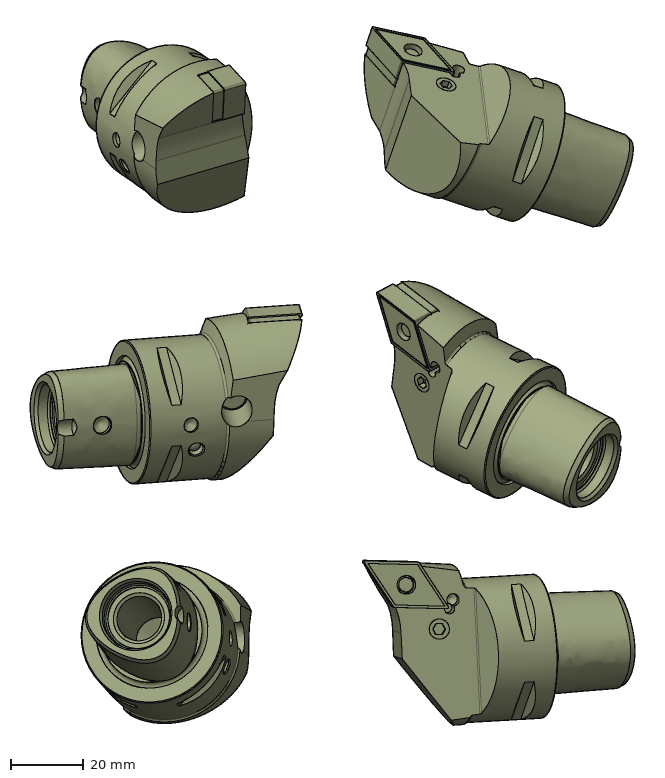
import cadquery as cq
import math


shank_length = 24.0
shank_radius = 14.0
shank_lobe = 1.0
shank_taper = 1 / 40
shank_end_x = -1.55
shank_lead = 1.5
shank_lead_step = 0.7
polygon_points = 60
neck_radius = 14.2
neck_start_x = -0.3
recess_radius = 15.75
recess_depth = 1.1
neck_fillet = recess_radius - neck_radius
key_slot_radius = 2.6
key_slot_length = 4.2
key_slot_y = -13.6
shank_hole_x = -11.5
shank_hole_diameter = 5.0
shank_hole_depth = 1.6
shank_hole_chamfer = 0.2
drill_half_angle = math.radians(59)

mouth_radius = 10.2
entry_radius = 9.6
thread_mouth_radius = 9.2
thread_radius = 8.7
bore_radius = 7.2
deep_bore_radius = 6.3
mouth_depth = 1.0
entry_depth = 3.7
thread_mouth_depth = 4.3
thread_depth = 4.85
bore_cone_depth = 0.55
deep_bore_end_x = 10.0

flange_radius = 20.0
flange_length = 22.3
flange_chamfer = 0.3
slot_x = 8.0
slot_floor_width = 2.7
slot_floor_distance = 17.65
slot_flank_angle = math.radians(30)
slot_count = 4
dimple_x = 12.0
dimple_diameter = 4.1
dimple_depth = 1.0

ball_hole_x = 14.0
ball_hole_angle = 22.0
ball_hole_diameter = 4.0
ball_hole_mouth_diameter = 4.8
ball_hole_depth = 5.0
ball_depth = 3.0

head_radius = 20.5
head_start_x = 23.0
crown_radius = 24.05
crown_tilt = math.radians(6)
crown_offset_y = 0.38
shoulder_top_x = 24.15
head_reach_x = 60.0
head_overlap_x = 19.0

tip_x = 50.33
tip_z = 27.03
rake_normal = (0.19, 1.0, 0.178)
top_edge = (14.9, -2.9, 0.65)
floor_height = -0.57
insert_edge = 15.5
insert_angle = math.radians(55)
insert_thickness = 6.35
insert_nose = 0.4
insert_hole_diameter = 5.16
breaker_inset = 0.7
breaker_depth = 0.2
shim_thickness = 3.0
shim_inset = 0.4
pin_diameter = 4.0
pin_top = -1.5
pin_length = 15.0
pocket_overrun = 4.0
corner_relief_diameter = 2.8
coolant_hole_position = (-25.3, 10.2)
coolant_hole_radius = 1.7
coolant_hole_depth = 6.0

end_inset = 0.4
end_flank_length = 15.6
end_arc_middle = (-10.5, 15.9)
end_top = (-11.1, 19.8)
end_bottom = (-11.65, 26.95)
underside_angle = math.radians(130.2)
underside_length = 60.0
end_outline_left = -60.0
end_outline_top = -10.0
end_outline_height = 20.0

wall_foot = (-31.3, 6.7)
wall_skew = 4.3
wall_lean = math.radians(26.8)
wall_height = 40.0
wall_foot_fillet = 0.5

screw_position = (-21.7, 18.4)
screw_diameter = 8.65
screw_end_depth = 17.6
screw_end_chamfer = 0.6
screw_head_diameter = 5.6
screw_head_length = 4.0
screw_socket_width = 3.5
screw_socket_depth = 2.0

insert_corner = cq.Vector(tip_x, 0, tip_z)
rake_plane = cq.Plane(origin=insert_corner, xDir=top_edge, normal=rake_normal)
seat_depth = insert_thickness + shim_thickness
through = 80.0
clearance = 1.0


def rake_level(height):
    """Workplane parallel to the rake face; height is positive out of the part."""
    return cq.Workplane(rake_plane).workplane(offset=height)


def rod(position, diameter, top, length):
    """Cylinder along the rake normal, from height top downward."""
    return rake_level(top).center(*position).circle(diameter / 2).extrude(-length)


def rhombus_points(inset=0.0, overrun=0.0):
    """Insert outline moved inward on all sides, or with its two free sides moved outward by overrun."""
    cos_a, sin_a = math.cos(insert_angle), math.sin(insert_angle)

    def corner(along, down):
        return (-along - down * cos_a, down * sin_a)

    shift = inset / sin_a
    near = shift - overrun
    far = insert_edge - shift
    return [corner(near, near), corner(far, near), corner(far, far), corner(near, far)]


def revolve_about_x(profile):
    return profile.close().revolve(360, (0, 0, 0), (1, 0, 0))


def shank_section(x, mean_radius):
    """Closed three-lobed polygon with one lobe toward +Y."""
    points = []
    for i in range(polygon_points):
        t = 2 * math.pi * i / polygon_points
        y = -mean_radius * math.cos(t) + shank_lobe * math.cos(2 * t)
        z = mean_radius * math.sin(t) + shank_lobe * math.sin(2 * t)
        points.append(cq.Vector(x, y, z))
    return cq.Wire.assembleEdges([cq.Edge.makeSpline(points, periodic=True)])


def make_shank():
    lead_x = shank_lead - shank_length
    lead_radius = shank_radius - (shank_end_x - lead_x) * shank_taper
    large_end = shank_section(shank_end_x, shank_radius)
    lead_start = shank_section(lead_x, lead_radius)
    free_end = shank_section(-shank_length, lead_radius - shank_lead_step)
    taper = cq.Workplane(cq.Solid.makeLoft([lead_start, large_end], True))
    lead_in = cq.Workplane(cq.Solid.makeLoft([free_end, lead_start], True))
    return taper.union(lead_in).union(make_lobe_relief(large_end))


def make_lobe_relief(section):
    """Straight run of the polygon up to the neck, with its lobes turned down by a 45 degree cone."""
    length = neck_start_x - shank_end_x
    run = cq.Workplane(cq.Solid.extrudeLinear(section, [], cq.Vector(length, 0, 0)))
    lobe_radius = shank_radius + shank_lobe
    cone = cq.Solid.makeCone(
        lobe_radius, lobe_radius - length, length, cq.Vector(shank_end_x, 0, 0), cq.Vector(1, 0, 0))
    return run.intersect(cq.Workplane(cone))


def make_flange():
    blank = cq.Workplane("YZ").circle(flange_radius).extrude(flange_length)
    return blank.faces("<X").chamfer(flange_chamfer)


def make_neck_recess():
    outline = (
        cq.Workplane("XY")
        .moveTo(-clearance, 0)
        .lineTo(-clearance, recess_radius)
        .lineTo(recess_depth, recess_radius)
        .lineTo(recess_depth, 0)
    )
    return revolve_about_x(outline)


def make_neck():
    outline = (
        cq.Workplane("XY")
        .moveTo(neck_start_x, 0)
        .lineTo(neck_start_x, neck_radius)
        .lineTo(recess_depth - neck_fillet, neck_radius)
        .radiusArc((recess_depth, recess_radius), -neck_fillet)
        .lineTo(recess_depth, 0)
    )
    return revolve_about_x(outline)


def make_bore():
    start = -shank_length
    tip = deep_bore_end_x + deep_bore_radius / math.tan(drill_half_angle)
    outline = (
        cq.Workplane("XY")
        .moveTo(start, 0)
        .lineTo(start, mouth_radius)
        .lineTo(start + mouth_depth, entry_radius)
        .lineTo(start + entry_depth, entry_radius)
        .lineTo(start + thread_mouth_depth, thread_mouth_radius)
        .lineTo(start + thread_mouth_depth, thread_radius)
        .lineTo(start + thread_depth, thread_radius)
        .lineTo(start + thread_depth, bore_radius)
        .lineTo(start + thread_depth + bore_cone_depth, deep_bore_radius)
        .lineTo(deep_bore_end_x, deep_bore_radius)
        .lineTo(tip, 0)
    )
    return revolve_about_x(outline)


def drill(base, direction, radius, depth):
    """Drilled hole with a conical bottom."""
    cone_height = radius / math.tan(drill_half_angle)
    cone_base = base + direction * depth
    barrel = cq.Workplane(cq.Solid.makeCylinder(radius, depth, base, direction))
    return barrel.union(cq.Workplane(cq.Solid.makeCone(radius, 0, cone_height, cone_base, direction)))


def make_shank_holes():
    inward = cq.Vector(0, 1, 0)
    face_y = shank_lobe - shank_radius + (shank_end_x - shank_hole_x) * shank_taper
    mouth = cq.Vector(shank_hole_x, face_y, 0)
    radius = shank_hole_diameter / 2
    side_hole = drill(mouth - inward * clearance, inward, radius, clearance + shank_hole_depth)
    mouth_cone = cq.Solid.makeCone(
        radius + shank_hole_chamfer, radius, shank_hole_chamfer, mouth, inward)
    key_slot = drill(
        cq.Vector(-shank_length, key_slot_y, 0), cq.Vector(1, 0, 0), key_slot_radius, key_slot_length)
    return side_hole.union(cq.Workplane(mouth_cone)).union(key_slot)


def make_gripper_slots():
    """Four straight slots with flared flanks, cut across the flange at 45 degrees."""
    height = flange_radius + clearance - slot_floor_distance
    flare = height * math.tan(slot_flank_angle)
    half_floor = slot_floor_width / 2
    slot = (
        cq.Workplane("XZ")
        .moveTo(slot_x - half_floor, slot_floor_distance)
        .lineTo(slot_x + half_floor, slot_floor_distance)
        .lineTo(slot_x + half_floor + flare, slot_floor_distance + height)
        .lineTo(slot_x - half_floor - flare, slot_floor_distance + height)
        .close()
        .extrude(flange_radius, both=True)
    )
    pitch = 360 / slot_count
    first_slot_angle = pitch / 2
    slots = cq.Workplane()
    for i in range(slot_count):
        slots = slots.union(slot.rotate((0, 0, 0), (1, 0, 0), pitch * i + first_slot_angle))
    return slots


def ball_direction():
    angle = math.radians(ball_hole_angle)
    return cq.Vector(0, -math.cos(angle), -math.sin(angle))


def make_flange_holes():
    dimple_start = cq.Vector(dimple_x, -flange_radius - clearance, 0)
    dimple = drill(dimple_start, cq.Vector(0, 1, 0), dimple_diameter / 2, clearance + dimple_depth)
    outward = ball_direction()
    axis_point = cq.Vector(ball_hole_x, 0, 0)
    chamfer = (ball_hole_mouth_diameter - ball_hole_diameter) / 2
    ball_hole = cq.Solid.makeCylinder(
        ball_hole_diameter / 2, ball_hole_depth + clearance,
        axis_point + outward * (flange_radius - ball_hole_depth), outward)
    mouth_cone = cq.Solid.makeCone(
        ball_hole_diameter / 2, ball_hole_mouth_diameter / 2, chamfer,
        axis_point + outward * (flange_radius - chamfer), outward)
    return dimple.union(cq.Workplane(ball_hole)).union(cq.Workplane(mouth_cone))


def make_head_blank():
    """Round lower half and inclined crown, behind a conical shoulder and trimmed flat at -Y."""
    length = head_reach_x - head_overlap_x
    lower = cq.Workplane("YZ", origin=(head_overlap_x, 0, 0)).circle(head_radius).extrude(length)
    crown_axis = cq.Vector(math.cos(crown_tilt), 0, math.sin(crown_tilt))
    crown_centre = cq.Vector(shoulder_top_x, crown_offset_y, 0)
    crown_start = crown_centre - crown_axis * (shoulder_top_x - head_overlap_x)
    crown = cq.Workplane(cq.Solid.makeCylinder(crown_radius, length, crown_start, crown_axis))
    upper_half = cq.Workplane("XY").box(2 * through, 2 * head_radius, through, centered=(True, True, False))
    shoulder_slope = (shoulder_top_x - head_start_x) / (crown_radius - head_radius)
    mask_radius = 2 * crown_radius
    mask_x = head_start_x + (mask_radius - head_radius) * shoulder_slope
    mask_outline = (
        cq.Workplane("XY")
        .moveTo(head_overlap_x, 0)
        .lineTo(head_overlap_x, flange_radius)
        .lineTo(flange_length, flange_radius)
        .radiusArc((head_start_x, head_radius), -(head_start_x - flange_length))
        .lineTo(mask_x, mask_radius)
        .lineTo(head_reach_x, mask_radius)
        .lineTo(head_reach_x, 0)
    )
    return lower.union(crown.intersect(upper_half)).intersect(revolve_about_x(mask_outline))


def make_end_outline():
    """Prism along the rake normal: end flank below the insert, relief arc, end face and sloped underside."""
    cos_a, sin_a = math.cos(insert_angle), math.sin(insert_angle)
    flank_shift = end_inset / sin_a
    underside_end = (
        end_bottom[0] + underside_length * math.cos(underside_angle),
        end_bottom[1] + underside_length * math.sin(underside_angle),
    )
    return (
        rake_level(end_outline_height)
        .moveTo(end_outline_left, end_outline_top)
        .lineTo(-flank_shift - end_outline_top * cos_a / sin_a, end_outline_top)
        .lineTo(-flank_shift - end_flank_length * cos_a, end_flank_length * sin_a)
        .threePointArc(end_arc_middle, end_top)
        .lineTo(*end_bottom)
        .lineTo(*underside_end)
        .lineTo(end_outline_left, underside_end[1])
        .close()
        .extrude(-through)
    )


def make_chip_space():
    """Clearance above the chip face, ending at a leaning wall that cuts into the flange."""
    plane = cq.Plane(
        origin=rake_plane.toWorldCoords((*wall_foot, floor_height)),
        xDir=rake_plane.xDir, normal=rake_plane.zDir,
    ).rotated((0, 0, wall_skew))
    side_plane = cq.Plane(origin=plane.origin, xDir=plane.xDir, normal=-plane.yDir)
    prism = (
        cq.Workplane(side_plane)
        .moveTo(0, 0)
        .lineTo(through, 0)
        .lineTo(through, wall_height)
        .lineTo(-wall_height * math.tan(wall_lean), wall_height)
        .close()
        .extrude(through, both=True)
    )
    foot_edge = cq.selectors.NearestToPointSelector(plane.origin.toTuple())
    return prism.edges(foot_edge).fillet(wall_foot_fillet)


def make_seat_pocket():
    """Pocket that seats the insert on its two inner sides, with a round relief in its corner."""
    outline = rhombus_points(overrun=pocket_overrun)
    inner_corner = rhombus_points()[2]
    depth = seat_depth + clearance
    pocket = rake_level(clearance).polyline(outline).close().extrude(-depth)
    relief = rod(inner_corner, corner_relief_diameter, clearance, depth)
    return pocket.union(relief)


def make_coolant_outlet():
    """Drilled hole in the chip face beside the insert."""
    mouth = rake_plane.toWorldCoords((*coolant_hole_position, floor_height))
    outward = rake_plane.zDir
    return drill(mouth + outward * clearance, outward * -1, coolant_hole_radius, clearance + coolant_hole_depth)


def insert_centre():
    near, _, far, _ = rhombus_points()
    return ((near[0] + far[0]) / 2, (near[1] + far[1]) / 2)


def make_clamp_screw():
    """Screw with a slim socket head flush with the chip face and a chamfered end."""
    barrel_top = floor_height - screw_head_length
    barrel = rod(screw_position, screw_diameter, barrel_top, screw_end_depth - screw_head_length)
    lower_end = cq.selectors.DirectionMinMaxSelector(rake_plane.zDir, False)
    barrel = barrel.faces(lower_end).chamfer(screw_end_chamfer)
    head = rod(screw_position, screw_head_diameter, floor_height, screw_head_length)
    socket = (
        rake_level(floor_height)
        .center(*screw_position)
        .polygon(6, screw_socket_width)
        .extrude(-screw_socket_depth)
    )
    return barrel.union(head).cut(socket)


def make_screw_hole():
    """Open from the -Y side up to the screw barrel, narrower where the head passes."""
    barrel_top = floor_height - screw_head_length
    wide = rod(screw_position, screw_diameter, barrel_top, through)
    narrow = rod(
        screw_position, screw_head_diameter, floor_height + clearance, screw_head_length + clearance)
    return wide.union(narrow)


def make_lever_pin():
    return rod(insert_centre(), pin_diameter, pin_top, pin_length)


def make_insert():
    blank = rake_level(0).polyline(rhombus_points()).close().extrude(-insert_thickness)
    blank = blank.edges(cq.selectors.ParallelDirSelector(rake_plane.zDir)).fillet(insert_nose)
    breaker = rake_level(0).polyline(rhombus_points(inset=breaker_inset)).close().extrude(-breaker_depth)
    hole = rod(insert_centre(), insert_hole_diameter, clearance, through)
    return blank.cut(breaker).cut(hole)


def make_shim():
    """Shim under the insert, set back on all sides and rounded at its corners."""
    top = -insert_thickness
    blank = rake_level(top).polyline(rhombus_points(inset=shim_inset)).close().extrude(-shim_thickness)
    blank = blank.edges(cq.selectors.ParallelDirSelector(rake_plane.zDir)).fillet(insert_nose)
    hole = rod(insert_centre(), insert_hole_diameter, clearance, through)
    return blank.cut(hole)


def make_ball():
    centre = cq.Vector(ball_hole_x, 0, 0) + ball_direction() * (flange_radius - ball_depth)
    return cq.Workplane("XY").sphere(ball_hole_diameter / 2).translate(centre)


def make_housing(pin):
    head = make_head_blank().intersect(make_end_outline())
    body = make_flange().union(head).cut(make_chip_space())
    body = body.cut(make_neck_recess()).union(make_neck()).union(make_shank())
    for tool in (
        make_bore(),
        make_shank_holes(),
        make_gripper_slots(),
        make_flange_holes(),
        make_seat_pocket(),
        make_coolant_outlet(),
        make_screw_hole(),
        pin,
    ):
        body = body.cut(tool)
    return body


lever_pin = make_lever_pin()
housing = make_housing(lever_pin)
insert = make_insert()
shim = make_shim()
clamp_screw = make_clamp_screw()
ball = make_ball()

result = cq.Compound.makeCompound([
    housing.val(),
    insert.val(),
    shim.val(),
    lever_pin.val(),
    clamp_screw.val(),
    ball.val(),
])